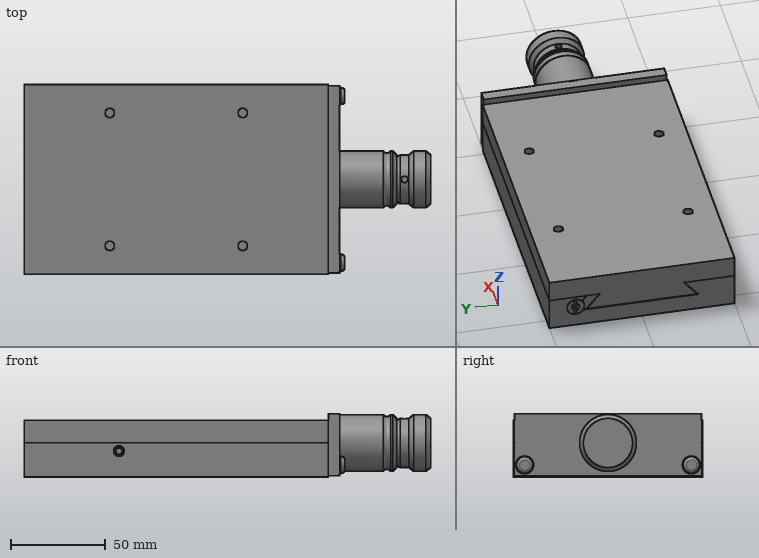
import cadquery as cq
import math

slide_length = 160.0
slide_width = 100.0
base_height = 18.2
slide_height = 30.0
total_length = 214.0
total_height = 33.4

dovetail_root_half = 22.7
dovetail_foot_half = 30.0
groove_floor_z = 9.2
dovetail_foot_z = 9.6
gib_width = 7.0
dovetail_slope = (dovetail_foot_half - dovetail_root_half) / (base_height - dovetail_foot_z)
groove_spread = dovetail_slope * (base_height - groove_floor_z)

mount_hole_diameter = 5.0
mount_hole_spacing = 70.0

gib_screw_diameter = 9.5
gib_screw_length = 9.5
gib_screw_y = 35.7
gib_screw_z = 11.8
gib_slot_width = 1.3
gib_slot_depth = 0.6
gib_center_diameter = 4.0
gib_center_pit_diameter = 1.8
gib_center_depth = 1.0

lock_screw_diameter = 5.5
lock_screw_length = 10.7
lock_screw_x = 49.9
lock_screw_z = 13.7
lock_screw_chamfer = 0.6
lock_socket_flats = 3.2
lock_socket_depth = 2.5

plate_thickness = 6.0
plate_margin = 0.6
button_diameter = 9.5
button_dome_diameter = 8.8
button_tip_diameter = 5.5
button_rim = 0.6
button_height = 2.8
button_y = 43.9
button_z = 6.5
knob_radius = 15.0
knob_neck_diameter = 26.0
knob_neck_radius = knob_neck_diameter / 2
knob_axis_z = 18.0
sleeve_end_x = 189.0
cove_depth = 1.0
ring_start_x = 192.8
ring_end_x = 194.0
groove_x = 196.0
groove_radius = 12.0
neck_start_x = 198.0
neck_end_x = 202.5
grip_start_x = 205.0
grip_chamfer = 2.5
neck_hole_diameter = 3.5
neck_hole_depth = 3.2

plate_end_x = slide_length + plate_thickness


def extrude_along_slide(points):
    """Extrude a (Y, Z) outline over the whole slide length."""
    return cq.Workplane("YZ").polyline(points).close().extrude(slide_length)


def make_gib_screw_blank():
    """Plain cylinder that fills the gib screw recess."""
    return (
        cq.Workplane("YZ")
        .center(gib_screw_y, gib_screw_z)
        .circle(gib_screw_diameter / 2)
        .extrude(gib_screw_length)
    )


def make_lock_screw_blank():
    """Plain cylinder that fills the lock screw hole."""
    return (
        cq.Workplane("XZ", origin=(lock_screw_x, -slide_width / 2, lock_screw_z))
        .circle(lock_screw_diameter / 2)
        .extrude(-lock_screw_length)
    )


def make_base():
    """Lower slide with the dovetail groove, widened on +Y to take the gib."""
    block = cq.Workplane("XY").box(slide_length, slide_width, base_height, centered=(False, True, False))
    groove = extrude_along_slide([
        (-dovetail_root_half, base_height),
        (-dovetail_root_half - groove_spread, groove_floor_z),
        (dovetail_root_half + gib_width + groove_spread, groove_floor_z),
        (dovetail_root_half + gib_width, base_height),
    ])
    return block.cut(groove).cut(make_gib_screw_blank()).cut(make_lock_screw_blank())


def make_carriage():
    """Upper slide with its dovetail and four mounting holes."""
    body = extrude_along_slide([
        (-slide_width / 2, slide_height),
        (-slide_width / 2, base_height),
        (-dovetail_root_half, base_height),
        (-dovetail_foot_half, dovetail_foot_z),
        (dovetail_foot_half, dovetail_foot_z),
        (dovetail_root_half, base_height),
        (slide_width / 2, base_height),
        (slide_width / 2, slide_height),
    ])
    holes = (
        cq.Workplane("XY", origin=(slide_length / 2, 0, base_height))
        .rect(mount_hole_spacing, mount_hole_spacing, forConstruction=True)
        .vertices()
        .circle(mount_hole_diameter / 2)
        .extrude(slide_height - base_height)
    )
    return body.cut(holes)


def make_gib():
    """Slanted strip between the carriage dovetail and the +Y groove wall."""
    strip = extrude_along_slide([
        (dovetail_root_half, base_height),
        (dovetail_root_half + groove_spread, groove_floor_z),
        (dovetail_root_half + gib_width + groove_spread, groove_floor_z),
        (dovetail_root_half + gib_width, base_height),
    ])
    return strip.cut(make_gib_screw_blank())


def make_gib_screw():
    """Flush adjusting screw with an upright slot and a conical center mark."""
    slot = (
        cq.Workplane("YZ")
        .center(gib_screw_y, gib_screw_z)
        .rect(gib_slot_width, gib_screw_diameter)
        .extrude(gib_slot_depth)
    )
    center_mark = (
        cq.Workplane("YZ")
        .center(gib_screw_y, gib_screw_z)
        .circle(gib_center_diameter / 2)
        .workplane(offset=gib_center_depth)
        .circle(gib_center_pit_diameter / 2)
        .loft()
    )
    return make_gib_screw_blank().cut(slot).cut(center_mark)


def make_lock_screw():
    """Flush set screw with a chamfered rim and a hexagon socket."""
    socket = (
        cq.Workplane("XZ", origin=(lock_screw_x, -slide_width / 2, lock_screw_z))
        .polygon(6, lock_socket_flats / math.cos(math.pi / 6))
        .extrude(-lock_socket_depth)
    )
    return make_lock_screw_blank().faces("<Y").chamfer(lock_screw_chamfer).cut(socket)


def make_end_plate():
    """Plate across the +X end of the slide."""
    return cq.Workplane("XY").box(
        plate_thickness,
        slide_width - 2 * plate_margin,
        total_height - plate_margin,
        centered=(False, True, False),
    ).translate((slide_length, 0, plate_margin))


def make_button_head(y):
    """Domed screw head on the end plate."""
    rim_radius = button_diameter / 2
    dome_radius = button_dome_diameter / 2
    tip_radius = button_tip_diameter / 2
    dome_height = button_height - button_rim
    bulge = math.sqrt(0.5)
    dome_middle = (
        button_rim + dome_height * bulge,
        tip_radius + (dome_radius - tip_radius) * bulge,
    )
    return (
        cq.Workplane("XY")
        .lineTo(0, rim_radius)
        .lineTo(button_rim, rim_radius)
        .lineTo(button_rim, dome_radius)
        .threePointArc(dome_middle, (button_height, tip_radius))
        .lineTo(button_height, 0)
        .close()
        .revolve(360, (0, 0, 0), (1, 0, 0))
        .translate((plate_end_x, y, button_z))
    )


def make_knob():
    """Turned sleeve, ring and grip, with a small radial hole in the neck."""
    cove_middle = ((sleeve_end_x + ring_start_x) / 2, knob_radius - cove_depth)
    turned = (
        cq.Workplane("XY")
        .moveTo(plate_end_x, 0)
        .lineTo(plate_end_x, knob_radius)
        .lineTo(sleeve_end_x, knob_radius)
        .threePointArc(cove_middle, (ring_start_x, knob_radius))
        .lineTo(ring_end_x, knob_radius)
        .lineTo(groove_x, knob_neck_radius)
        .lineTo(groove_x, groove_radius)
        .lineTo(neck_start_x, knob_neck_radius)
        .lineTo(neck_end_x, knob_neck_radius)
        .lineTo(grip_start_x, knob_radius)
        .lineTo(total_length - grip_chamfer, knob_radius)
        .lineTo(total_length, knob_neck_radius)
        .lineTo(total_length, 0)
        .close()
        .revolve(360, (0, 0, 0), (1, 0, 0))
    )
    neck_hole = (
        cq.Workplane("XY", origin=((neck_start_x + neck_end_x) / 2, 0, knob_neck_radius - neck_hole_depth))
        .circle(neck_hole_diameter / 2)
        .extrude(knob_radius)
    )
    return turned.cut(neck_hole).translate((0, 0, knob_axis_z))


def make_drive():
    """End plate, its two screw heads and the knob as one body."""
    drive = make_end_plate().union(make_knob())
    for y in (-button_y, button_y):
        drive = drive.union(make_button_head(y))
    return drive


base = make_base()
carriage = make_carriage()
gib = make_gib()
gib_screw = make_gib_screw()
lock_screw = make_lock_screw()
drive = make_drive()

result = cq.Compound.makeCompound([
    base.val(),
    carriage.val(),
    gib.val(),
    gib_screw.val(),
    lock_screw.val(),
    drive.val(),
])